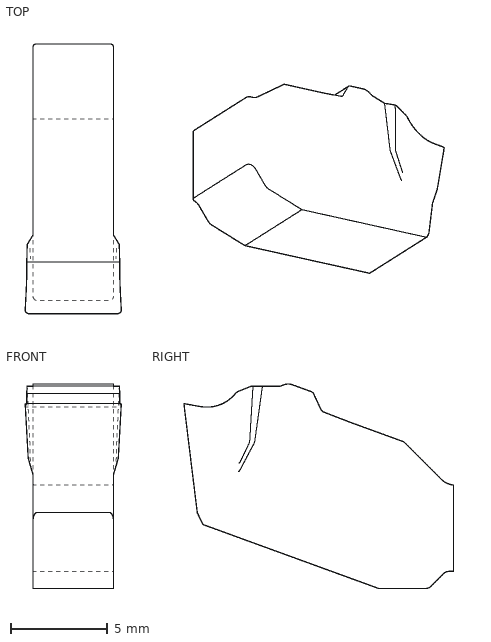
import cadquery as cq
import math


length = 14.0
edge_width = 5.0
body_width = 4.2
edge_height = 9.6
deck_height = 10.5
side_round = 0.2
clearance = 2.0
tolerance = 1e-4

front_relief = 7.0
bevel_top_height = 3.94
bevel_bottom = (0.99, 3.32)
bevel_round = 0.15

base_slope = 20.0
base_rear = 12.7
rear_bottom = 0.89
rear_top = 5.38
base_round = 0.4

rear_cove = (13.62, 5.41)
rear_cove_radius = 1.0
slope_foot = (11.41, 7.62)
slope_foot_round = 0.25
slope_bend_y = 8.62
upper_slope = 20.0
shoulder_foot = (7.16, 9.2)
shoulder_top = (6.7, 10.19)
shoulder_round = 0.3
crest_rise = 26.0
crest_front_y = 5.025
crest_round = 0.65
crest_foot_radius = 0.5

deck_front_y = 3.48
deck_round = 0.2
former_lip = (2.745, 10.2)
former_lip_round = 0.4
former_radius = 1.9
former_fall = 51.3
rake = 10.0

cheek_back_taper = 2.6
cheek_down_taper = 2.85
cheek_corner_round = 0.25
corner_reach = 0.25
root_points = [(4.08, deck_height), (3.675, 7.59), (2.865, 6.055), (0.445, 5.92)]
ramp_tops = [(3.59, deck_height), (2.865, 6.445), (0.344, 6.8)]


def slope(degrees):
    """Rise over run of a line at the given angle."""
    return math.tan(math.radians(degrees))


def front_y(z):
    """Y of the relieved front face at height z."""
    return (edge_height - z) * slope(front_relief)


def crossing(point_a, slope_a, point_b, slope_b):
    """Point where two lines in the YZ plane meet."""
    (ya, za), (yb, zb) = point_a, point_b
    y = (zb - za + slope_a * ya - slope_b * yb) / (slope_a - slope_b)
    return (y, za + slope_a * (y - ya))


def rounded_outline(corners):
    """Closed YZ wire through (point, radius) corners, with each radius as a tangent arc."""
    edges = []
    arcs = []
    for i, (point, radius) in enumerate(corners):
        corner = cq.Vector(0, *point)
        to_last = (cq.Vector(0, *corners[i - 1][0]) - corner).normalized()
        to_next = (cq.Vector(0, *corners[(i + 1) % len(corners)][0]) - corner).normalized()
        half_angle = to_last.getAngle(to_next) / 2
        tangent = radius / math.tan(half_angle)
        bisector = (to_last + to_next).normalized()
        middle = corner + bisector * (radius / math.sin(half_angle) - radius)
        arcs.append((corner + to_last * tangent, middle, corner + to_next * tangent, radius))
    for i, (start, middle, end, radius) in enumerate(arcs):
        if radius:
            edges.append(cq.Edge.makeThreePointArc(start, middle, end))
        edges.append(cq.Edge.makeLine(end, arcs[(i + 1) % len(arcs)][0]))
    return cq.Wire.assembleEdges(edges)


def side_profile():
    """Full-width extrusion of the side outline."""
    crest = crossing((crest_front_y, deck_height), slope(crest_rise), shoulder_top, -slope(upper_slope))
    slope_bend = (slope_bend_y, slope_foot[1] + (slope_foot[0] - slope_bend_y) * slope(upper_slope))
    former_floor = crossing((0, edge_height), -slope(rake), former_lip, slope(former_fall))
    base_front = bevel_bottom[0] + bevel_bottom[1] / slope(base_slope)
    corners = [
        ((0, edge_height), 0),
        (former_floor, former_radius),
        (former_lip, former_lip_round),
        ((deck_front_y, deck_height), deck_round),
        ((crest_front_y, deck_height), crest_foot_radius),
        (crest, crest_round),
        (shoulder_top, shoulder_round),
        (shoulder_foot, shoulder_round),
        (slope_bend, 0),
        (slope_foot, slope_foot_round),
        (rear_cove, rear_cove_radius),
        ((length, rear_top), 0),
        ((length, rear_bottom), 0),
        ((base_rear + rear_bottom, rear_bottom), base_round),
        ((base_rear, 0), base_round),
        ((base_front, 0), 0),
        (bevel_bottom, bevel_round),
        ((front_y(bevel_top_height), bevel_top_height), 0),
    ]
    face = cq.Face.makeFromWires(rounded_outline(corners))
    solid = cq.Solid.extrudeLinear(face, cq.Vector(edge_width + 2 * clearance, 0, 0))
    return cq.Workplane(solid).translate((-edge_width / 2 - clearance, 0, 0))


def relieved_block(rear, half_width, bottom):
    """Block symmetric about X = 0 whose front follows the relieved front face."""
    top = deck_height + clearance
    outline = [(front_y(bottom), bottom), (rear, bottom), (rear, top), (front_y(top), top)]
    return cq.Workplane("YZ").polyline(outline).close().extrude(half_width, both=True)


def cheek_x(y, z):
    """Half width of the cheek face, which narrows rearwards and downwards."""
    rearward = (y - side_round) * slope(cheek_back_taper)
    downward = (edge_height - z) * slope(cheek_down_taper)
    return edge_width / 2 - rearward - downward


def trim(solid, a, b, c):
    """Cut away the side of plane a-b-c that its normal (b - a) x (c - a) points to."""
    along = cq.Vector(*b) - cq.Vector(*a)
    across = cq.Vector(*c) - cq.Vector(*a)
    plane = cq.Plane(a, along, along.cross(across))
    return solid.cut(cq.Workplane(plane).rect(4 * length, 4 * length).extrude(2 * length))


def on_cheek(y, z):
    """Point of the cheek face at the given Y and Z."""
    return (cheek_x(y, z), y, z)


def on_cheek_corner(point):
    """True at both ends of the edge where the slanted and lower ramps meet."""
    corners = (root_points[2], ramp_tops[1])
    return any(math.hypot(point.y - y, point.z - z) < corner_reach for y, z in corners)


def cheeks():
    """Both widened cheeks: a tapered face bounded behind and below by three ramps."""
    block = relieved_block(length / 2, edge_width / 2 + clearance, bevel_top_height)
    right_side = cq.Workplane().box(2 * length, 2 * length, 2 * length).translate((length, 0, 0))
    cheek = block.intersect(right_side)
    cheek = trim(cheek, on_cheek(0, 0), on_cheek(1, 0), on_cheek(0, 1))
    for start, end, top in zip(root_points, root_points[1:], ramp_tops):
        cheek = trim(cheek, (body_width / 2, *start), on_cheek(*top), (body_width / 2, *end))
    return cheek.union(cheek.mirror("YZ"))


def side_edges(solid, touches):
    """Edges away from X = 0 whose two end points (as vectors) both satisfy `touches`."""
    picked = []
    for edge in solid.edges().vals():
        ends = (edge.startPoint(), edge.endPoint())
        one_side = ends[0].x * ends[1].x > 0
        if one_side and all(touches(end) for end in ends):
            picked.append(edge)
    return solid.newObject(picked)


def on_front(point):
    """True for a point on the relieved front face."""
    return abs(point.y - front_y(point.z)) < tolerance


def on_rear(point):
    """True for a point on the rear face."""
    return abs(point.y - length) < tolerance


def blank():
    """Body and cheeks with their upright front and rear edges rounded."""
    solid = relieved_block(length, body_width / 2, -clearance).union(cheeks())
    solid = side_edges(solid, on_cheek_corner).fillet(cheek_corner_round)
    solid = side_edges(solid, on_front).fillet(side_round)
    return side_edges(solid, on_rear).fillet(side_round)


result = blank().intersect(side_profile())